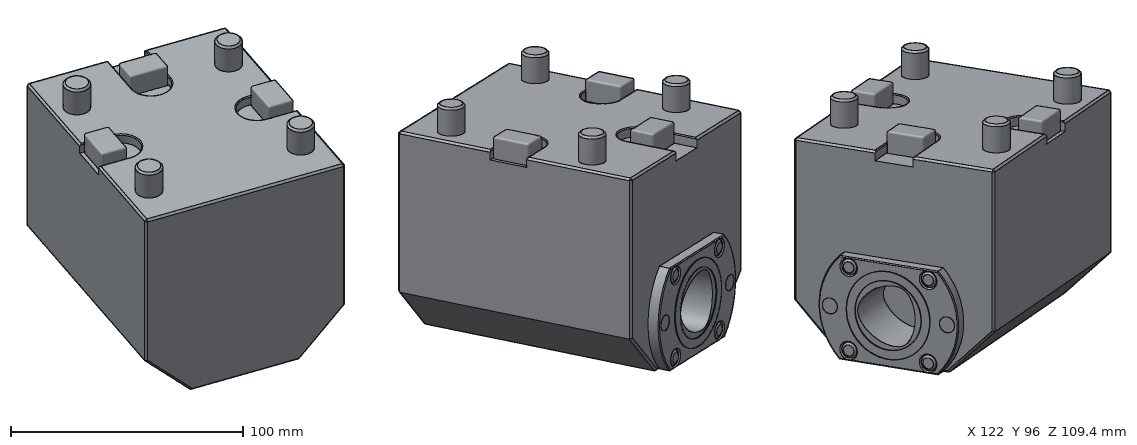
import cadquery as cq
import math

body_length = 116.0
body_width = 96.0
body_height = 96.0
lower_bevel = 22.0
body_chamfer = 1.0

pin_diameter = 12.0
pin_height = 12.9
pin_chamfer = 1.0
pin_spacing_x = 70.0
pin_spacing_y = 73.0
pin_centre_x = 61.0

key_width = 18.0
pocket_width = key_width
pocket_depth = 4.5
pocket_mouth_chamfer = 0.5
front_pocket_length = 33.2
side_pocket_length = 24.3
key_length = 12.0
key_rise = 5.5
key_rounding = 1.0
front_key_setback = 11.1
side_key_setback = 2.0

bore_height = 24.0
flange_diameter = 66.9
flange_height = 47.3
flange_thickness = 5.5
flange_chamfer = 0.5
ring_outer_diameter = 40.0
ring_inner_diameter = 31.6
ring_rise = 0.5
recess_depth = 0.5

lobe_mean_radius = 13.8
lobe_rise = 1.0
bore_depth = 24.4
bore_shrink = 0.7

screw_offset = 19.0
screw_hole_diameter = 7.2
screw_face_diameter = 5.0
screw_recess_depth = 1.0
screw_hole_chamfer = 0.6

dowel_diameter = 7.2
dowel_offset = 28.0
dowel_sink = 0.1

foot_diameter = 5.0
foot_height = 0.5
foot_x = 42.7
foot_y = -15.7

flange_face_x = -flange_thickness
ring_face_x = flange_face_x - ring_rise


def flange_plane(x):
    """Plane across the bore axis: local x is Y, local y is Z, normal is +X."""
    return cq.Workplane("YZ", origin=(x, 0, bore_height))


def make_body():
    half_width = body_width / 2
    half_base = half_width - lower_bevel
    section = [
        (-half_base, 0),
        (half_base, 0),
        (half_width, lower_bevel),
        (half_width, body_height),
        (-half_width, body_height),
        (-half_width, lower_bevel),
    ]
    block = cq.Workplane("YZ").polyline(section).close().extrude(body_length)
    return block.faces("<X or >X or >Z").edges().chamfer(body_chamfer)


def slot_outline(plane, length, radius):
    """Close a round-ended outline that starts at the plane origin and runs along +X."""
    straight = length - radius
    return (
        plane.moveTo(0, -radius)
        .lineTo(straight, -radius)
        .threePointArc((length, 0), (straight, radius))
        .lineTo(0, radius)
        .close()
    )


def make_pocket(length):
    """Pocket cutter along +X, with its top at the block top and a bevelled mouth."""
    radius = pocket_width / 2
    floor = cq.Workplane("XY", origin=(0, 0, body_height - pocket_depth))
    slot = slot_outline(floor, length, radius).extrude(pocket_depth)
    mouth_bottom = cq.Workplane("XY", origin=(0, 0, body_height - pocket_mouth_chamfer))
    mouth_top = slot_outline(mouth_bottom, length, radius).workplane(offset=pocket_mouth_chamfer)
    mouth = slot_outline(
        mouth_top, length + pocket_mouth_chamfer, radius + pocket_mouth_chamfer
    ).loft(ruled=True)
    return slot.union(mouth)


def make_key(setback):
    height = pocket_depth + key_rise
    key = cq.Workplane("XY").box(key_length, key_width, height, centered=(False, True, False))
    key = key.edges("|Z or >Z").fillet(key_rounding)
    return key.translate((setback, 0, body_height - pocket_depth))


def add_key_seats(part):
    half_width = body_width / 2
    seats = [
        ((0, 0, 0), 0, front_pocket_length, front_key_setback),
        ((pin_centre_x, -half_width, 0), 90, side_pocket_length, side_key_setback),
        ((pin_centre_x, half_width, 0), -90, side_pocket_length, side_key_setback),
    ]
    for opening, angle, length, setback in seats:
        pocket = make_pocket(length).rotate((0, 0, 0), (0, 0, 1), angle).translate(opening)
        key = make_key(setback).rotate((0, 0, 0), (0, 0, 1), angle).translate(opening)
        part = part.cut(pocket).union(key)
    return part


def make_pins():
    return (
        cq.Workplane("XY", origin=(pin_centre_x, 0, body_height))
        .rarray(pin_spacing_x, pin_spacing_y, 2, 2)
        .circle(pin_diameter / 2)
        .extrude(pin_height)
        .faces(">Z")
        .edges()
        .chamfer(pin_chamfer)
    )


def make_flange():
    disc = flange_plane(flange_face_x).circle(flange_diameter / 2).extrude(flange_thickness)
    flats = flange_plane(flange_face_x).rect(flange_diameter, flange_height).extrude(flange_thickness)
    plate = disc.intersect(flats).faces("<X").edges().chamfer(flange_chamfer)
    ring = flange_plane(ring_face_x).circle(ring_outer_diameter / 2).extrude(ring_rise)
    return plate.union(ring)


def lobe_points(mean_radius):
    """Points of a three-lobed outline whose tangents lie at mean_radius + lobe_rise * cos(3a)."""

    def point(angle):
        reach = mean_radius + lobe_rise * math.cos(3 * angle)
        slide = 3 * lobe_rise * math.sin(3 * angle)
        y = reach * math.cos(angle) + slide * math.sin(angle)
        z = reach * math.sin(angle) - slide * math.cos(angle)
        return (y, z)

    samples = 36
    return [point(2 * math.pi * i / samples) for i in range(samples)]


def make_bore():
    recess = flange_plane(ring_face_x).circle(ring_inner_diameter / 2).extrude(recess_depth)
    lobes = (
        flange_plane(ring_face_x)
        .spline(lobe_points(lobe_mean_radius), periodic=True)
        .close()
        .workplane(offset=bore_depth)
        .spline(lobe_points(lobe_mean_radius - bore_shrink), periodic=True)
        .close()
        .loft(ruled=True)
    )
    return recess.union(lobes)


def add_screws(part):
    """Chamfered screw holes, each filled by a bevelled head flush with the flange face."""
    hole_radius = screw_hole_diameter / 2
    mouth_radius = hole_radius + screw_hole_chamfer
    axis = cq.Vector(1, 0, 0)
    for y in (-screw_offset, screw_offset):
        for z in (bore_height - screw_offset, bore_height + screw_offset):
            centre = cq.Vector(flange_face_x, y, z)
            hole = cq.Solid.makeCylinder(hole_radius, screw_recess_depth, centre, axis)
            mouth = cq.Solid.makeCone(mouth_radius, hole_radius, screw_hole_chamfer, centre, axis)
            head = cq.Solid.makeCone(screw_face_diameter / 2, hole_radius, screw_recess_depth, centre, axis)
            part = part.cut(cq.Workplane(hole)).cut(cq.Workplane(mouth)).union(cq.Workplane(head))
    return part


def make_dowel_recesses():
    return (
        flange_plane(flange_face_x)
        .pushPoints([(-dowel_offset, 0), (dowel_offset, 0)])
        .circle(dowel_diameter / 2)
        .extrude(dowel_sink)
    )


def make_foot():
    return (
        cq.Workplane("XY", origin=(foot_x, foot_y, -foot_height))
        .circle(foot_diameter / 2)
        .extrude(foot_height)
    )


result = add_key_seats(make_body())
result = result.union(make_pins()).union(make_flange()).union(make_foot())
result = add_screws(result.cut(make_bore()).cut(make_dowel_recesses()))